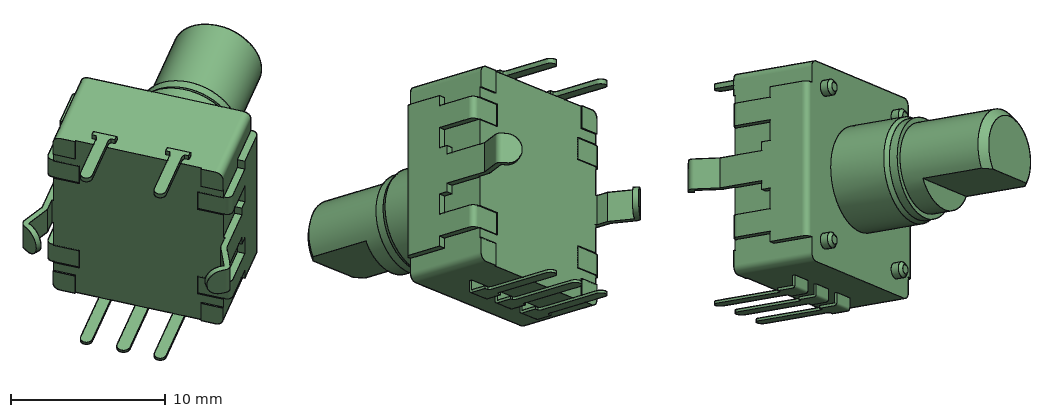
import cadquery as cq
import math

tip_y = -3.5
overall_length = 21.0
shaft_end_y = tip_y + overall_length

housing_width = 11.5
housing_height = 13.45
housing_front_y = 6.0
housing_back_y = 0.1
housing_corner_radius = 0.5
pad_inner_x = 4.26

frame_half_x = 6.25
frame_half_z = 5.19
frame_edge_y = 3.1
frame_edge_radius = 0.4
step_half_z = 1.6
step_edge_y = 2.48

sheet = 0.4
tab_back_y = 0.19
tab_inner_x = 4.01
tab_low_z = 2.98
tab_high_z = 4.5

tongue_half_z = 1.0
tongue_span = 14.0
first_bend_y = -0.82
second_bend_y = -2.44
tip_slope = 35.0

shaft_radius = 3.0
shaft_chamfer = 0.5
flat_end_y = 12.5
flat_z = -1.51
bushing_radius = 3.5
bushing_cone_y = 10.08
neck_radius = 3.34
neck_start_y = 10.4
neck_end_y = 11.0

boss_radius = 0.52
boss_end_y = 6.76
boss_chamfer = 0.2
boss_x = 4.22
boss_z = 5.12

pin_pitch = 2.5
pin_half_width = 0.4
pin_root_half_width = 0.78
shoulder_half_width = 0.5
center_pin_half_width = 0.45
center_pin_root_half_width = 0.74
center_shoulder_half_width = 0.55
upper_pin = dict(side=1, reach=7.16, thickness=0.34, root_y=1.03, shoulder_y=0.5, neck_y=0.19)
lower_pin = dict(side=-1, reach=7.58, thickness=0.19, root_y=3.1, shoulder_y=1.78, neck_y=1.51)


def block(x_range, y_range, z_range):
    """Axis-aligned box between the given limits."""
    sizes = [high - low for low, high in (x_range, y_range, z_range)]
    origin = (x_range[0], y_range[0], z_range[0])
    return cq.Workplane("XY").box(*sizes, centered=False).translate(origin)


def cylinder_along_y(radius, start_y, end_y):
    """Cylinder on the Y axis."""
    plane = cq.Workplane("XZ", origin=(0, start_y, 0))
    return plane.circle(radius).extrude(start_y - end_y)


def mirror_x(shape):
    """The shape together with its mirror image across X = 0."""
    return shape.union(shape.mirror("YZ"))


def mirror_z(shape):
    """The shape together with its mirror image across Z = 0."""
    return shape.union(shape.mirror("XY"))


def make_housing():
    """Rounded block whose back is lowered except for a pad at each corner."""
    half_x = housing_width / 2
    half_z = housing_height / 2
    plane = cq.Workplane("XZ", origin=(0, housing_front_y, 0))
    body = plane.rect(housing_width, housing_height).extrude(housing_front_y)
    body = body.edges("|Y").fillet(housing_corner_radius)
    step = (0, housing_back_y)
    upright = block((-pad_inner_x, pad_inner_x), step, (-half_z, half_z))
    crossbar = block((-half_x, half_x), step, (-frame_half_z, frame_half_z))
    pocket = block((tab_inner_x, half_x), (0, tab_back_y), (tab_low_z, tab_high_z))
    return body.cut(upright).cut(crossbar).cut(mirror_x(mirror_z(pocket)))


def make_frame_sides():
    """Frame plates on both sides, stepped down toward the tongue."""
    half_x = housing_width / 2
    x_range = (-frame_half_x, frame_half_x)
    plate = block(x_range, (frame_edge_y, housing_front_y), (-frame_half_z, frame_half_z))
    plate = plate.edges("|Z and >Y").fillet(frame_edge_radius)
    step = block(x_range, (step_edge_y, housing_front_y - frame_edge_radius), (-step_half_z, step_half_z))
    strap = block(x_range, (housing_back_y, frame_edge_y), (-tongue_half_z, tongue_half_z))
    core = block((-half_x, half_x), (housing_back_y, housing_front_y), (-frame_half_z, frame_half_z))
    return plate.union(step).union(strap).cut(core)


def make_tabs():
    """Four tabs running back along the sides and folded over the housing."""
    half_x = housing_width / 2
    tab = block((half_x, frame_half_x), (tab_back_y, frame_edge_y), (tab_low_z, tab_high_z))
    tab = tab.edges("|Z and <Y and >X").fillet(sheet)
    fold = block((tab_inner_x, half_x), (tab_back_y, tab_back_y + sheet), (tab_low_z, tab_high_z))
    return mirror_x(mirror_z(tab.union(fold)))


def make_tongues():
    """Bent spring tongues with half-round tips, one on each side."""
    inner_x = frame_half_x - sheet
    bend_x = tongue_span / 2 - sheet
    flare = math.atan2(bend_x - inner_x, first_bend_y - second_bend_y)
    slope = math.radians(tip_slope)

    def bend_point(angle):
        return (bend_x + sheet * math.cos(angle), second_bend_y + sheet * math.sin(angle))

    tip_normal = slope - math.pi / 2
    bend_start = bend_point(flare)
    bend_middle = bend_point((flare + tip_normal) / 2)
    bend_end = bend_point(tip_normal)
    tip_length = (bend_end[1] - tip_y) / math.sin(slope)
    run_x = tip_length * math.cos(slope)
    run_y = tip_length * math.sin(slope)

    tongue = (
        cq.Workplane("XY", origin=(0, 0, -tongue_half_z))
        .moveTo(inner_x, step_edge_y)
        .lineTo(frame_half_x, step_edge_y)
        .lineTo(frame_half_x, first_bend_y + sheet * math.tan(flare / 2))
        .lineTo(*bend_start)
        .threePointArc(bend_middle, bend_end)
        .lineTo(bend_end[0] - run_x, tip_y)
        .lineTo(bend_x - run_x, second_bend_y - run_y)
        .lineTo(bend_x, second_bend_y)
        .lineTo(inner_x, first_bend_y)
        .close()
        .extrude(2 * tongue_half_z)
    )

    tip_plane = cq.Plane(
        origin=(bend_end[0] - run_x, tip_y, 0),
        xDir=(math.cos(slope), math.sin(slope), 0),
        normal=(-math.sin(slope), math.cos(slope), 0),
    )
    blank = cq.Workplane(tip_plane).rect(2 * tongue_half_z, 2 * tongue_half_z).extrude(sheet)
    disc = cq.Workplane(tip_plane).center(tongue_half_z, 0).circle(tongue_half_z).extrude(sheet)
    return mirror_x(tongue.cut(blank.cut(disc)))


def make_shaft():
    """Chamfered shaft with a flat, standing in a stepped bushing."""
    shaft = cylinder_along_y(shaft_radius, housing_front_y, shaft_end_y)
    shaft = shaft.faces(">Y").chamfer(shaft_chamfer)
    flat_cut = block((-shaft_radius, shaft_radius), (flat_end_y, shaft_end_y), (-shaft_radius, flat_z))
    shaft = shaft.cut(flat_cut)
    bushing = (
        cq.Workplane("XY")
        .moveTo(0, housing_front_y)
        .lineTo(bushing_radius, housing_front_y)
        .lineTo(bushing_radius, bushing_cone_y)
        .lineTo(neck_radius, neck_start_y)
        .lineTo(neck_radius, neck_end_y)
        .lineTo(0, neck_end_y)
        .close()
        .revolve(360, (0, 0, 0), (0, 1, 0))
    )
    return shaft.union(bushing)


def make_bosses():
    """Four chamfered locating bosses around the bushing."""
    boss = cylinder_along_y(boss_radius, housing_front_y, boss_end_y)
    boss = boss.faces(">Y").chamfer(boss_chamfer)
    return mirror_x(mirror_z(boss.translate((boss_x, 0, boss_z))))


def concave_arc(start, end):
    """Middle and end point of the arc from start that reaches end running along -Y."""
    run = end[0] - start[0]
    drop = start[1] - end[1]
    radius = (run ** 2 + drop ** 2) / (2 * run)
    half_angle = math.asin(drop / radius) / 2
    middle = (
        end[0] - radius * (1 - math.cos(half_angle)),
        end[1] + radius * math.sin(half_angle),
    )
    return middle, end


def make_pin(x, half_width, shoulder, root,
             side, reach, thickness, root_y, shoulder_y, neck_y):
    """L-shaped pin leaving the housing along Z and turning toward -Y.

    The wide root narrows through two concave arcs to a blade with a half-round tip.
    """
    leg = block((-root, root), (root_y - thickness, root_y), (0, reach))
    arm = block((-root, root), (tip_y, root_y), (reach - thickness, reach))
    bent_strip = leg.union(arm).edges("|X and >Y and >Z").fillet(thickness)
    outline = (
        cq.Workplane("XY")
        .moveTo(-root, root_y)
        .lineTo(-root, shoulder_y)
        .lineTo(-shoulder, shoulder_y)
        .threePointArc(*concave_arc((-shoulder, shoulder_y), (-half_width, neck_y)))
        .lineTo(-half_width, tip_y + half_width)
        .threePointArc((0, tip_y), (half_width, tip_y + half_width))
        .lineTo(half_width, neck_y)
        .tangentArcPoint((shoulder, shoulder_y), relative=False)
        .lineTo(root, shoulder_y)
        .lineTo(root, root_y)
        .close()
        .extrude(reach)
    )
    pin = bent_strip.intersect(outline)
    if side < 0:
        pin = pin.mirror("XY")
    return pin.translate((x, 0, 0))


def make_pins():
    """Two pins on top of the housing and three below it."""
    outer = (pin_half_width, shoulder_half_width, pin_root_half_width)
    center = (center_pin_half_width, center_shoulder_half_width, center_pin_root_half_width)
    pins = make_pin(0, *center, **lower_pin)
    for x in (-pin_pitch, pin_pitch):
        for row in (upper_pin, lower_pin):
            pins = pins.union(make_pin(x, *outer, **row))
    return pins


result = make_housing()
for make_feature in (make_frame_sides, make_tabs, make_tongues, make_shaft, make_bosses, make_pins):
    result = result.union(make_feature())